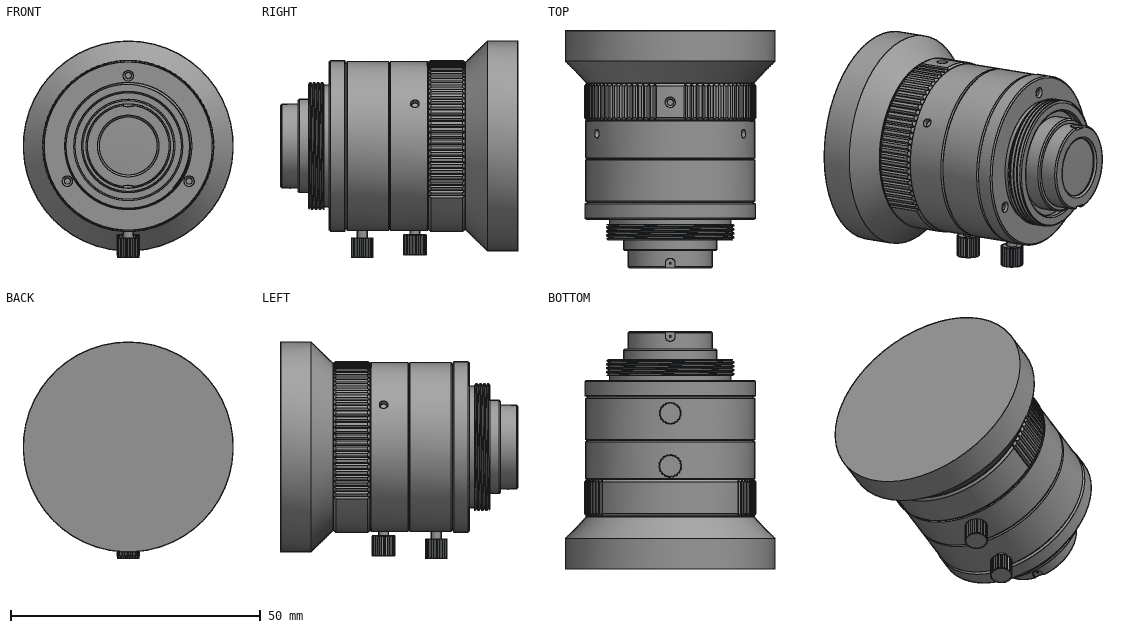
import cadquery as cq
import math


ORIGIN = cq.Vector(0, 0, 0)
Y_AXIS = cq.Vector(0, 1, 0)

FRONT_Y = 23.75
HOOD_Y = 17.65
HOOD_NECK_Y = 13.3
GRIP_FRONT_Y = 13.15
GRIP_REAR_Y = 5.85
FRONT_RING_Y = 5.65
MIDDLE_GROOVE_Y = -1.95
REAR_GROOVE_Y = -10.65
FLANGE_FACE_Y = -14.0
THREAD_START_Y = -15.0
THREAD_END_Y = -18.15
BARREL_STEP_Y = -20.25
REAR_Y = -23.75

HOOD_R = 42.0 / 2
OVERALL_HEIGHT = 43.35
GRIP_R = 17.15
GRIP_EDGE_R = 16.75
GRIP_GAP_R = 15.95
RING_R = 16.95
FLANGE_R = 17.1
MOUNT_NECK_R = 12.2
THREAD_R = 12.7
BARREL_R = 9.35
BARREL_TIP_R = 8.45

GRIP_CHAMFER = 0.5
FLANGE_CHAMFER = 0.3
EDGE_CHAMFER = 0.3
MIDDLE_GROOVE_HALF_WIDTH = 0.25
MIDDLE_GROOVE_R = 16.5
REAR_GROOVE_HALF_WIDTH = 0.3
REAR_GROOVE_R = 16.35

KNURL_DIVISIONS = 87
FIRST_KNURL = 2
LAST_KNURL = 30
KNURL_WIDTH = 0.65
KNURL_DEPTH = 0.35

THREAD_PITCH = 0.793
THREAD_DEPTH = 0.47
THREAD_LEAD_IN = 0.65
THREAD_RUNOUT = 0.47
THREAD_MOUTH_OVERCUT = 0.1
THREAD_ROOT_WIDTH = 0.05
THREAD_FLANK_ANGLE = 30.0

RECESS_R = 10.65
RECESS_DEPTH = 1.4
RECESS_FLOOR_Y = THREAD_END_Y + RECESS_DEPTH

SCREW_HOLE_R = 0.6
SCREW_SINK_R = 1.05
SCREW_HOLE_DEPTH = 0.95
FLANGE_HOLES = 3
FLANGE_HOLE_CIRCLE_R = 14.05
GRIP_HOLE_Y = 9.4

FRONT_SCREW_Y = 3.15
FRONT_SHAFT_R = 1.0
FRONT_KNOB_R = 2.3
FRONT_KNOB_TOP_Z = -17.7
FRONT_KNOB_END_Z = -21.85
FRONT_KNOB_PHASE = 5.0
REAR_SCREW_Y = -7.4
REAR_SHAFT_R = 1.05
REAR_KNOB_R = 2.2
REAR_KNOB_TOP_Z = -18.35
REAR_KNOB_END_Z = HOOD_R - OVERALL_HEIGHT
REAR_KNOB_PHASE = 0.0
LOCK_HOLE_SPACING = 120.0
LOCK_HOLE_R = 0.85
LOCK_HOLE_DEPTH = 1.3
SHAFT_ENGAGEMENT = 0.95
KNOB_GROOVES = 18
KNOB_GROOVE_WIDTH = 0.47
KNOB_GROOVE_DEPTH = 0.25
KNOB_CHAMFER = 0.15

LENS_R = 5.8
LENS_CHAMFER = 0.4
LENS_DEPTH = 0.6
LENS_BULGE = 0.15
SLOT_R = 1.0
SLOT_FLOOR_Z = 7.9
SLOT_CENTER_Y = -22.8
PIN_HOLE_R = 0.2
PIN_HOLE_DEPTH = 0.15


def revolve_on_axis(outline):
    """Revolve a closed half outline of (y, radius) around the optical axis."""
    return outline.close().revolve(360, (0, 0), (1, 0))


def housing_blank():
    outline = cq.Workplane("YZ").polyline([
        (RECESS_FLOOR_Y, 0),
        (FRONT_Y, 0),
        (FRONT_Y, HOOD_R),
        (HOOD_Y, HOOD_R),
        (HOOD_NECK_Y, GRIP_EDGE_R),
        (GRIP_FRONT_Y, GRIP_EDGE_R),
        (GRIP_FRONT_Y - GRIP_CHAMFER, GRIP_R),
        (GRIP_REAR_Y + GRIP_CHAMFER, GRIP_R),
        (GRIP_REAR_Y, GRIP_EDGE_R),
        (GRIP_REAR_Y, GRIP_GAP_R),
        (FRONT_RING_Y, GRIP_GAP_R),
        (FRONT_RING_Y, RING_R),
        (MIDDLE_GROOVE_Y + MIDDLE_GROOVE_HALF_WIDTH, RING_R),
        (MIDDLE_GROOVE_Y, MIDDLE_GROOVE_R),
        (MIDDLE_GROOVE_Y - MIDDLE_GROOVE_HALF_WIDTH, RING_R),
        (REAR_GROOVE_Y + REAR_GROOVE_HALF_WIDTH, RING_R),
        (REAR_GROOVE_Y, REAR_GROOVE_R),
        (REAR_GROOVE_Y - REAR_GROOVE_HALF_WIDTH, FLANGE_R),
        (FLANGE_FACE_Y + FLANGE_CHAMFER, FLANGE_R),
        (FLANGE_FACE_Y, FLANGE_R - FLANGE_CHAMFER),
        (FLANGE_FACE_Y, MOUNT_NECK_R),
        (THREAD_START_Y, MOUNT_NECK_R),
        (THREAD_START_Y, THREAD_R),
        (THREAD_END_Y + EDGE_CHAMFER, THREAD_R),
        (THREAD_END_Y, THREAD_R - EDGE_CHAMFER),
        (THREAD_END_Y, RECESS_R + EDGE_CHAMFER),
        (THREAD_END_Y + EDGE_CHAMFER, RECESS_R),
        (RECESS_FLOOR_Y, RECESS_R),
    ])
    return revolve_on_axis(outline)


def thread_groove():
    """Helical V groove that cuts the mount thread."""
    length = THREAD_START_Y - THREAD_END_Y + THREAD_LEAD_IN + THREAD_RUNOUT
    root_r = THREAD_R - THREAD_DEPTH
    mouth_r = THREAD_R + THREAD_MOUTH_OVERCUT
    root_half = THREAD_ROOT_WIDTH / 2
    mouth_half = root_half + (mouth_r - root_r) * math.tan(math.radians(THREAD_FLANK_ANGLE))
    helix = cq.Wire.makeHelix(THREAD_PITCH, length, root_r)
    groove = (
        cq.Workplane("XZ")
        .polyline([
            (root_r, -root_half),
            (mouth_r, -mouth_half),
            (mouth_r, mouth_half),
            (root_r, root_half),
        ])
        .close()
        .sweep(cq.Workplane(helix), isFrenet=True)
    )
    return groove.rotate((0, 0, 0), (1, 0, 0), -90).translate((0, THREAD_END_Y - THREAD_LEAD_IN, 0))


def knurl_grooves():
    """V grooves along both sides of the grip; its top and bottom stay smooth."""
    mouth_r = GRIP_R + KNURL_DEPTH
    groove = (
        cq.Workplane("XZ", origin=(0, GRIP_FRONT_Y, 0))
        .polyline([
            (0, GRIP_R - KNURL_DEPTH),
            (KNURL_WIDTH, mouth_r),
            (-KNURL_WIDTH, mouth_r),
        ])
        .close()
        .extrude(GRIP_FRONT_Y - GRIP_REAR_Y)
        .val()
    )
    cutters = []
    for number in range(FIRST_KNURL, LAST_KNURL + 1):
        angle = (number + 0.5) * 360 / KNURL_DIVISIONS
        for side in (-1, 1):
            cutters.append(groove.rotate(ORIGIN, Y_AXIS, side * angle))
    return cq.Compound.makeCompound(cutters)


def countersunk_hole(top, inward):
    """Screw hole with a 45 degree countersink, starting at `top` and running along `inward`."""
    hole = cq.Solid.makeCylinder(SCREW_HOLE_R, SCREW_HOLE_DEPTH, top, inward)
    sink = cq.Solid.makeCone(SCREW_SINK_R, SCREW_HOLE_R, SCREW_SINK_R - SCREW_HOLE_R, top, inward)
    return hole.fuse(sink)


def screw_holes():
    """One hole in the top of the grip and a ring of holes in the flange face."""
    holes = [countersunk_hole(cq.Vector(0, GRIP_HOLE_Y, GRIP_R), cq.Vector(0, 0, -1))]
    flange_hole = countersunk_hole(cq.Vector(0, FLANGE_FACE_Y, FLANGE_HOLE_CIRCLE_R), Y_AXIS)
    for number in range(FLANGE_HOLES):
        angle = number * 360 / FLANGE_HOLES
        holes.append(flange_hole.rotate(ORIGIN, Y_AXIS, angle))
    return cq.Compound.makeCompound(holes)


def spare_lock_holes():
    """The two empty holes that share a circle with the front thumb screw."""
    floor_r = RING_R - LOCK_HOLE_DEPTH
    hole = cq.Solid.makeCylinder(
        LOCK_HOLE_R, 2 * LOCK_HOLE_DEPTH, cq.Vector(0, FRONT_SCREW_Y, -floor_r), cq.Vector(0, 0, -1)
    )
    copies = [hole.rotate(ORIGIN, Y_AXIS, side * LOCK_HOLE_SPACING) for side in (-1, 1)]
    return cq.Compound.makeCompound(copies)


def knob_groove(root_r, length):
    """V groove cutter along Z, with its root at `root_r` on +X and its mouth facing outward."""
    return (
        cq.Workplane("XY")
        .polyline([
            (root_r, 0),
            (root_r + 2 * KNOB_GROOVE_DEPTH, KNOB_GROOVE_WIDTH),
            (root_r + 2 * KNOB_GROOVE_DEPTH, -KNOB_GROOVE_WIDTH),
        ])
        .close()
        .extrude(length)
    )


def thumb_screw(y, shaft_r, knob_r, knob_top_z, knob_end_z, first_groove_angle):
    """Thumb screw below the housing, with a knurled knob at its end."""
    knob_height = knob_top_z - knob_end_z
    knob = cq.Workplane("XY").circle(knob_r).extrude(knob_height)
    knob = knob.faces("<Z or >Z").edges().chamfer(KNOB_CHAMFER)
    groove = knob_groove(knob_r - KNOB_GROOVE_DEPTH, knob_height)
    for number in range(KNOB_GROOVES):
        angle = first_groove_angle + number * 360 / KNOB_GROOVES
        knob = knob.cut(groove.rotate((0, 0, 0), (0, 0, 1), angle))
    shaft = cq.Workplane("XY", origin=(0, 0, knob_height)).circle(shaft_r)
    screw = knob.union(shaft.extrude(-knob_top_z - RING_R + SHAFT_ENGAGEMENT))
    return screw.translate((0, y, knob_end_z))


def make_housing():
    """Hood, grip, rings, flange and threaded mount, with the two thumb screws."""
    housing = housing_blank()
    housing = housing.cut(thread_groove())
    housing = housing.cut(cq.Workplane(knurl_grooves()))
    housing = housing.cut(cq.Workplane(screw_holes()))
    housing = housing.cut(cq.Workplane(spare_lock_holes()))
    front_screw = thumb_screw(
        FRONT_SCREW_Y, FRONT_SHAFT_R, FRONT_KNOB_R, FRONT_KNOB_TOP_Z, FRONT_KNOB_END_Z, FRONT_KNOB_PHASE
    )
    rear_screw = thumb_screw(
        REAR_SCREW_Y, REAR_SHAFT_R, REAR_KNOB_R, REAR_KNOB_TOP_Z, REAR_KNOB_END_Z, REAR_KNOB_PHASE
    )
    return housing.union(front_screw).union(rear_screw)


def barrel_blank():
    """Stepped barrel that stands on the recess floor, with a slightly domed lens in its rear opening."""
    lens_edge_y = REAR_Y + LENS_DEPTH
    lens_apex_y = lens_edge_y - LENS_BULGE
    sphere_r = (LENS_R**2 + LENS_BULGE**2) / (2 * LENS_BULGE)
    outline = (
        cq.Workplane("YZ")
        .moveTo(RECESS_FLOOR_Y, 0)
        .lineTo(RECESS_FLOOR_Y, BARREL_R)
        .lineTo(BARREL_STEP_Y + EDGE_CHAMFER, BARREL_R)
        .lineTo(BARREL_STEP_Y, BARREL_R - EDGE_CHAMFER)
        .lineTo(BARREL_STEP_Y, BARREL_TIP_R)
        .lineTo(REAR_Y + EDGE_CHAMFER, BARREL_TIP_R)
        .lineTo(REAR_Y, BARREL_TIP_R - EDGE_CHAMFER)
        .lineTo(REAR_Y, LENS_R + LENS_CHAMFER)
        .lineTo(REAR_Y + LENS_CHAMFER, LENS_R)
        .lineTo(lens_edge_y, LENS_R)
        .radiusArc((lens_apex_y, 0), -sphere_r)
    )
    return revolve_on_axis(outline)


def spanner_slot(side):
    """Round-ended slot open to the rear of the barrel; `side` is 1 for the top, -1 for the bottom."""
    slot_center = (0, SLOT_CENTER_Y, SLOT_FLOOR_Z)
    straight_length = SLOT_CENTER_Y - REAR_Y
    slot = (
        cq.Workplane("XY", origin=slot_center)
        .center(0, -straight_length / 2)
        .rect(2 * SLOT_R, straight_length)
        .extrude(BARREL_TIP_R)
    )
    slot = slot.union(cq.Workplane("XY", origin=slot_center).circle(SLOT_R).extrude(BARREL_TIP_R))
    slot = slot.union(cq.Workplane("XY", origin=slot_center).circle(PIN_HOLE_R).extrude(-PIN_HOLE_DEPTH))
    return slot if side > 0 else slot.mirror("XY")


def make_barrel():
    return barrel_blank().cut(spanner_slot(1)).cut(spanner_slot(-1))


housing = make_housing()
barrel = make_barrel()
result = cq.Compound.makeCompound([housing.val(), barrel.val()])